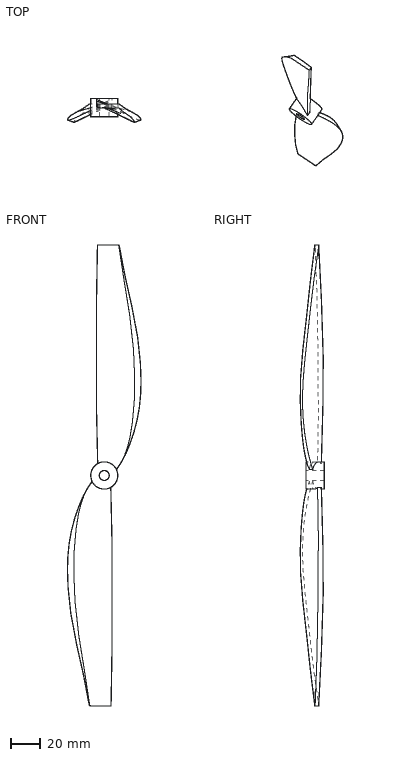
import cadquery as cq

DIAMETER = 317.5
HUB_DIAMETER = 18.7
HUB_LENGTH = 12.7
BORE_DIAMETER = 6.7
TIP_CORNER_RADIUS = 1.3
TIP_RADIUS = DIAMETER / 2

BLADE_SECTIONS = [
    (3.8, -4.5, -2.2, -4.5, 4.5, -8.5, 8.3, -8.0, 0.3, -10.2),
    (17.0, -4.8, -1.5, -4.5, 4.5, -8.5, 16.0, -11.5, 0.5, -14.0),
    (30.2, -5.0, -1.3, -4.0, 4.0, -8.3, 20.5, -13.5, 2.2, -15.5),
    (46.0, -5.5, -1.0, -4.0, 3.8, -8.0, 24.0, -15.0, 3.8, -16.5),
    (65.0, -5.5, -0.5, -4.0, 3.5, -7.3, 25.5, -14.5, 4.5, -16.5),
    (92.0, -5.5, -1.0, -4.5, 3.2, -7.0, 23.5, -12.0, 3.8, -14.3),
    (120.5, -5.5, -2.0, -5.0, 3.0, -7.0, 18.0, -9.0, 2.2, -11.0),
    (143.0, -5.0, -3.0, -5.7, 2.2, -6.7, 13.3, -6.0, 1.0, -8.5),
    (TIP_RADIUS, -4.8, -3.8, -6.5, 2.0, -6.7, 10.2, -3.8, 0.3, -6.7),
]


def section_wire(radius, lead_x, lead_back, lead_front, crease_x, crease_y,
                 trail_x, trail_back, bevel_width, bevel_front):
    """Closed blade section in the plane Z = radius."""
    corners = [
        (lead_x, lead_back),
        (lead_x, lead_front),
        (crease_x, crease_y),
        (trail_x - bevel_width, bevel_front),
        (trail_x, trail_back),
    ]
    return cq.Wire.makePolygon([cq.Vector(x, y, radius) for x, y in corners], close=True)


def make_blade():
    """Upper blade, with its trailing tip corner rounded."""
    wires = [section_wire(*section) for section in BLADE_SECTIONS]
    blade = cq.Workplane(cq.Solid.makeLoft(wires))
    trailing_tip_edge = blade.faces(">Z").edges(">X")
    return trailing_tip_edge.fillet(TIP_CORNER_RADIUS)


def hub_cylinder(diameter):
    """Cylinder on the propeller axis, from the back face at Y = 0 to the front face."""
    return cq.Workplane("XZ").circle(diameter / 2).extrude(HUB_LENGTH)


blade = make_blade()
opposite_blade = blade.rotate((0, 0, 0), (0, 1, 0), 180)
hub = hub_cylinder(HUB_DIAMETER)
bore = hub_cylinder(BORE_DIAMETER)

result = hub.union(blade).union(opposite_blade).cut(bore)